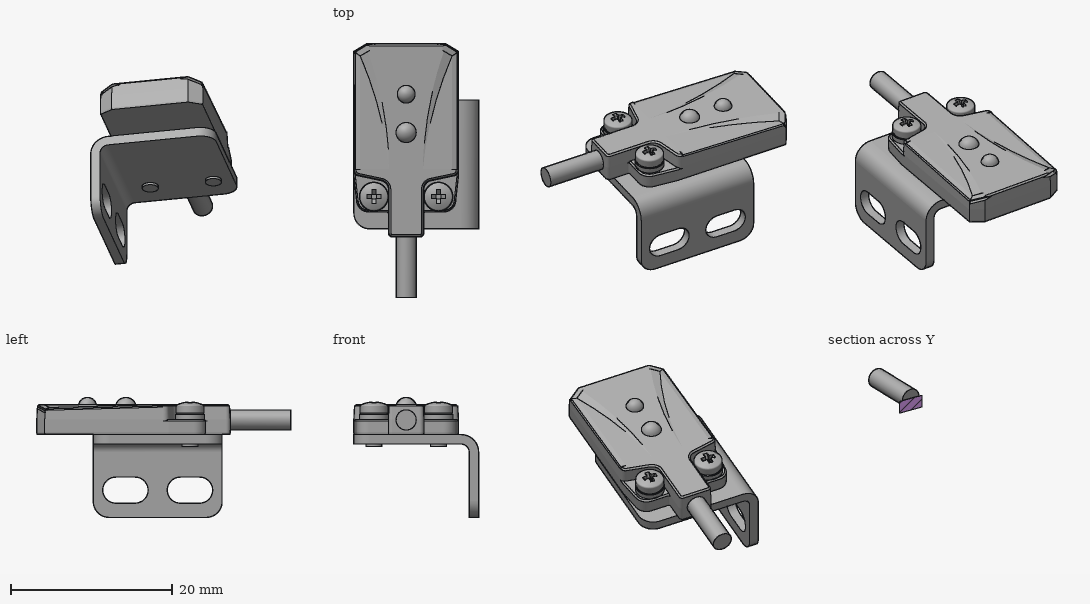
import cadquery as cq
import math


CASE_HALF_WIDTH = 6.5
CASE_BACK_Y = 19.0
CASE_HEIGHT = 3.7
PARTING_Z = CASE_HEIGHT / 2
DRAFT_ANGLE = 3.0
BACK_CORNER_X = 1.65
BACK_CORNER_Y = 1.0
TOP_CHAMFER = 0.2
FOOT_HEIGHT = 0.2
FOOT_INSET = 0.05

SHOULDER_SIDE_Y = 2.7
SHOULDER_SLOPE = 12.0
SHOULDER_RADIUS = 0.7
NECK_HALF_WIDTH = 2.2
NECK_FRONT_Y = -5.0
NECK_ROOT_RADIUS = 1.1
NECK_CORNER_RADIUS = 0.5

EAR_BACK_Y = 4.0
EAR_SLANT_Y = 2.6
EAR_FRONT_Y = -1.9
EAR_FRONT_HALF_WIDTH = 6.0
EAR_CORNER_RADIUS = 1.5
EAR_ROOT_RADIUS = 0.2
EAR_STUB_LENGTH = 1.0
EAR_CHAMFER = 0.2

PANEL_FRONT_Y = 3.4
PANEL_TILT = 1.45
PANEL_WALL_SLOPE = 71.8
PANEL_FRONT_X = 2.1
PANEL_MIDDLE_X = 3.45
PANEL_MIDDLE_LENGTH = 7.6
PANEL_BACK_X = 5.7
PANEL_LENGTH = 14.05
PANEL_CUT_HEIGHT = 0.8

CORNER_RIM_X = 4.56
CORNER_RIM_Y = 18.1
RIM_EDGE_X = 6.28
CORNER_EDGE_CHAMFER = 0.2
CUT_REACH = 8.0

LAMPS = [(12.7, 2.2), (7.95, 2.5)]
LAMP_HEIGHT = 0.9

CABLE_DIAMETER = 2.5
CABLE_LENGTH = 7.5
CABLE_Z = 1.8

PLATE_THICKNESS = 1.2
PLATE_LEFT_X = -CASE_HALF_WIDTH
PLATE_RIGHT_X = 9.0
PLATE_FRONT_Y = -4.0
PLATE_LENGTH = 16.0
BRACKET_BOTTOM_Z = -10.3
BEND_RADIUS = 2.2
BRACKET_CORNER_RADIUS = 2.0
SLOT_LENGTH = 5.6
SLOT_WIDTH = 3.2
SLOT_SPACING = 8.0
SLOT_Z = -6.9

SCREW_X = 4.0
SCREW_DIAMETER = 2.0
SCREW_TIP_Z = -1.5
WASHER_DIAMETER = 3.6
WASHER_THICKNESS = 0.65
HEAD_DIAMETER = 3.5
HEAD_HEIGHT = 1.55
HEAD_RIM_HEIGHT = 1.1
HEAD_BOTTOM_CHAMFER = 0.15
HEAD_RIM_RADIUS = 0.2
RECESS_SPAN = 1.9
RECESS_FLOOR_SPAN = 0.6
RECESS_ARM_WIDTH = 0.5
RECESS_DEPTH = 0.9

PANEL_BACK_Y = PANEL_FRONT_Y + PANEL_LENGTH * math.cos(math.radians(PANEL_TILT))
PANEL_BACK_DROP = PANEL_LENGTH * math.sin(math.radians(PANEL_TILT))

MITRE_SLOPE = (CASE_BACK_Y - BACK_CORNER_Y - PANEL_BACK_Y) / (CASE_HALF_WIDTH - PANEL_BACK_X)
CORNER_FALL = PANEL_BACK_DROP / (PANEL_BACK_X - CORNER_RIM_X)
SIDE_FALL = CORNER_FALL - math.tan(math.radians(PANEL_TILT)) * MITRE_SLOPE
MITRE_END_Y = PANEL_BACK_Y + (CUT_REACH - PANEL_BACK_X) * MITRE_SLOPE

HEAD_BASE_Z = PARTING_Z + WASHER_THICKNESS
SCREW_POINTS = [(-SCREW_X, 0), (SCREW_X, 0)]


def mirrored_outline(right_side):
    """Close the points of the right half with their mirror image across the YZ plane."""
    left_side = [(-x, y) for x, y in reversed(right_side)]
    return right_side + left_side


def corner_zone(x, y):
    """Selector for whatever lies at (x, y), at any height."""
    reach = 0.05
    return cq.selectors.BoxSelector(
        (x - reach, y - reach, -CASE_HEIGHT), (x + reach, y + reach, 2 * CASE_HEIGHT)
    )


def rounded(block, x, y, radius):
    """Round the vertical edges at (x, y) and at its mirror image."""
    return block.edges(corner_zone(x, y) + corner_zone(-x, y)).edges("|Z").fillet(radius)


def case_plan():
    """Plan of the case body and neck, as a block one parting height tall."""
    shoulder_width = CASE_HALF_WIDTH - NECK_HALF_WIDTH
    neck_root_y = SHOULDER_SIDE_Y - shoulder_width * math.tan(math.radians(SHOULDER_SLOPE))
    right_side = [
        (CASE_HALF_WIDTH - BACK_CORNER_X, CASE_BACK_Y),
        (CASE_HALF_WIDTH, CASE_BACK_Y - BACK_CORNER_Y),
        (CASE_HALF_WIDTH, SHOULDER_SIDE_Y),
        (NECK_HALF_WIDTH, neck_root_y),
        (NECK_HALF_WIDTH, NECK_FRONT_Y),
    ]
    block = cq.Workplane("XY").polyline(mirrored_outline(right_side)).close().extrude(PARTING_Z)
    block = rounded(block, CASE_HALF_WIDTH, SHOULDER_SIDE_Y, SHOULDER_RADIUS)
    block = rounded(block, NECK_HALF_WIDTH, neck_root_y, NECK_ROOT_RADIUS)
    return rounded(block, NECK_HALF_WIDTH, NECK_FRONT_Y, NECK_CORNER_RADIUS)


def panel_plane():
    """Plane of a panel floor, hinged on the case top and sinking toward the back."""
    return cq.Plane(origin=(0, PANEL_FRONT_Y, CASE_HEIGHT)).rotated((-PANEL_TILT, 0, 0))


def panel_cutter():
    """Tool that sinks the right-hand panel, leaving an arched sloping wall on its inner side."""
    return (
        cq.Workplane(panel_plane())
        .moveTo(PANEL_FRONT_X, 0)
        .threePointArc((PANEL_MIDDLE_X, PANEL_MIDDLE_LENGTH), (PANEL_BACK_X, PANEL_LENGTH))
        .lineTo(CUT_REACH, MITRE_END_Y - PANEL_FRONT_Y)
        .lineTo(CUT_REACH, 0)
        .close()
        .extrude(PANEL_CUT_HEIGHT, taper=-PANEL_WALL_SLOPE)
    )


def plan_prism(points):
    """Tall prism over a plan outline, used to trim the rim tools."""
    return cq.Workplane("XY").polyline(points).close().extrude(2 * CASE_HEIGHT)


def side_rim_cutter():
    """Tool that bevels the outer side of the right-hand panel and breaks its edge."""
    tilted = panel_plane()
    edge_z = -(RIM_EDGE_X - PANEL_BACK_X) * SIDE_FALL
    wedge = (
        cq.Workplane(cq.Plane(origin=tilted.origin, xDir=(1, 0, 0), normal=-tilted.yDir))
        .moveTo(PANEL_BACK_X, 0)
        .lineTo(RIM_EDGE_X, edge_z)
        .lineTo(CUT_REACH, edge_z - (CUT_REACH - RIM_EDGE_X))
        .lineTo(CUT_REACH, PANEL_CUT_HEIGHT)
        .lineTo(PANEL_BACK_X, PANEL_CUT_HEIGHT)
        .close()
        .extrude(-CASE_BACK_Y)
    )
    side = plan_prism([
        (PANEL_BACK_X, 0),
        (CUT_REACH, 0),
        (CUT_REACH, MITRE_END_Y),
        (PANEL_BACK_X, PANEL_BACK_Y),
    ])
    return wedge.intersect(side)


def corner_rim_cutter():
    """Tool that bevels the back right corner, falling sideways from the flat centre of the case top."""
    wedge = (
        cq.Workplane("XZ")
        .moveTo(CORNER_RIM_X, CASE_HEIGHT)
        .lineTo(CUT_REACH, CASE_HEIGHT - (CUT_REACH - CORNER_RIM_X) * CORNER_FALL)
        .lineTo(CUT_REACH, CASE_HEIGHT)
        .close()
        .extrude(-2 * CASE_BACK_Y)
    )
    corner = plan_prism([
        (CORNER_RIM_X, CORNER_RIM_Y),
        (PANEL_BACK_X, PANEL_BACK_Y),
        (CUT_REACH, MITRE_END_Y),
        (CUT_REACH, 2 * CASE_BACK_Y),
        (CORNER_RIM_X, 2 * CASE_BACK_Y),
    ])
    return wedge.intersect(corner)


def corner_edge_cutter():
    """Tool that breaks the outer edge of the back right corner rim at 45 degrees."""
    edge_drop = (CASE_HALF_WIDTH - CORNER_RIM_X) * CORNER_FALL
    edge_plane = cq.Plane(
        origin=(CASE_HALF_WIDTH, CASE_BACK_Y - BACK_CORNER_Y, CASE_HEIGHT - edge_drop),
        xDir=(BACK_CORNER_Y, BACK_CORNER_X, 0),
        normal=(-BACK_CORNER_X, BACK_CORNER_Y, BACK_CORNER_X * CORNER_FALL),
    )
    reach = 0.6
    return (
        cq.Workplane(edge_plane)
        .moveTo(-reach, reach - CORNER_EDGE_CHAMFER)
        .lineTo(reach, -reach - CORNER_EDGE_CHAMFER)
        .lineTo(reach, reach - CORNER_EDGE_CHAMFER)
        .close()
        .extrude(2 * BACK_CORNER_X)
    )


def case_upper(plan):
    """Drafted upper half with its sunken panels and bevelled top edge."""
    upper = plan.faces(">Z").wires().toPending().extrude(PARTING_Z, taper=DRAFT_ANGLE, combine=False)
    upper = upper.faces(">Z").chamfer(TOP_CHAMFER)
    for cutter in (panel_cutter(), side_rim_cutter(), corner_rim_cutter(), corner_edge_cutter()):
        upper = upper.cut(cutter).cut(cutter.mirror("YZ"))
    return upper


def case_ears():
    """Low block that carries both screws, with its top edge chamfered and a stub inside the neck."""
    right_side = [
        (CASE_HALF_WIDTH, EAR_BACK_Y),
        (CASE_HALF_WIDTH, EAR_SLANT_Y),
        (EAR_FRONT_HALF_WIDTH, EAR_FRONT_Y),
        (NECK_HALF_WIDTH, EAR_FRONT_Y),
        (NECK_HALF_WIDTH, EAR_FRONT_Y - EAR_STUB_LENGTH),
    ]
    block = cq.Workplane("XY").polyline(mirrored_outline(right_side)).close().extrude(PARTING_Z)
    block = rounded(block, EAR_FRONT_HALF_WIDTH, EAR_FRONT_Y, EAR_CORNER_RADIUS)
    block = rounded(block, NECK_HALF_WIDTH, EAR_FRONT_Y, EAR_ROOT_RADIUS)
    return block.faces(">Z").chamfer(EAR_CHAMFER)


def lamp(y, diameter):
    """Indicator dome standing on the case top."""
    ball_radius = ((diameter / 2) ** 2 + LAMP_HEIGHT**2) / (2 * LAMP_HEIGHT)
    ball = cq.Workplane("XY").sphere(ball_radius)
    ball = ball.translate((0, y, CASE_HEIGHT + LAMP_HEIGHT - ball_radius))
    cap_room = cq.Workplane("XY").box(
        2 * diameter, 2 * diameter, CASE_HEIGHT, centered=(True, True, False)
    )
    return ball.intersect(cap_room.translate((0, y, CASE_HEIGHT - LAMP_HEIGHT / 2)))


def make_sensor():
    """Case with its indicator lamps and its cable, drilled for the screws."""
    plan = case_plan()
    sensor = plan.union(case_ears())
    sensor = sensor.faces("<Z").chamfer(FOOT_INSET, FOOT_HEIGHT)
    sensor = sensor.union(case_upper(plan))
    for y, diameter in LAMPS:
        sensor = sensor.union(lamp(y, diameter))
    cable = (
        cq.Workplane("XZ", origin=(0, NECK_FRONT_Y, CABLE_Z))
        .circle(CABLE_DIAMETER / 2)
        .extrude(CABLE_LENGTH)
    )
    holes = cq.Workplane("XY").pushPoints(SCREW_POINTS).circle(SCREW_DIAMETER / 2).extrude(PARTING_Z)
    return sensor.union(cable).cut(holes)


def make_bracket():
    """Angle bracket: a plate under the case, bent down into a slotted leg."""
    leg_inner_x = PLATE_RIGHT_X - PLATE_THICKNESS
    bend_x = PLATE_RIGHT_X - BEND_RADIUS
    inner_radius = BEND_RADIUS - PLATE_THICKNESS
    bracket = (
        cq.Workplane("XZ", origin=(0, PLATE_FRONT_Y, 0))
        .moveTo(PLATE_LEFT_X, 0)
        .lineTo(bend_x, 0)
        .radiusArc((PLATE_RIGHT_X, -BEND_RADIUS), BEND_RADIUS)
        .lineTo(PLATE_RIGHT_X, BRACKET_BOTTOM_Z)
        .lineTo(leg_inner_x, BRACKET_BOTTOM_Z)
        .lineTo(leg_inner_x, -BEND_RADIUS)
        .radiusArc((bend_x, -PLATE_THICKNESS), -inner_radius)
        .lineTo(PLATE_LEFT_X, -PLATE_THICKNESS)
        .close()
        .extrude(-PLATE_LENGTH)
    )
    bracket = bracket.faces("<X").edges("|Z").fillet(BRACKET_CORNER_RADIUS)
    bracket = bracket.faces("<Z").edges("|X").fillet(BRACKET_CORNER_RADIUS)
    slots = (
        cq.Workplane("YZ", origin=(leg_inner_x, PLATE_FRONT_Y + PLATE_LENGTH / 2, SLOT_Z))
        .pushPoints([(-SLOT_SPACING / 2, 0), (SLOT_SPACING / 2, 0)])
        .slot2D(SLOT_LENGTH, SLOT_WIDTH)
        .extrude(PLATE_THICKNESS)
    )
    holes = (
        cq.Workplane("XY").pushPoints(SCREW_POINTS).circle(SCREW_DIAMETER / 2).extrude(-PLATE_THICKNESS)
    )
    return bracket.cut(slots).cut(holes)


def make_washer(x, y):
    """Washer between an ear and a screw head."""
    return (
        cq.Workplane("XY", origin=(x, y, PARTING_Z))
        .circle(WASHER_DIAMETER / 2)
        .circle(SCREW_DIAMETER / 2)
        .extrude(WASHER_THICKNESS)
    )


def recess_cutter():
    """Cross recess tool, pointing down from the crown of a screw head."""
    top_z = HEAD_HEIGHT
    floor_z = HEAD_HEIGHT - RECESS_DEPTH
    arm = (
        cq.Workplane("XZ", origin=(0, RECESS_ARM_WIDTH / 2, 0))
        .moveTo(-RECESS_SPAN / 2, top_z)
        .lineTo(RECESS_SPAN / 2, top_z)
        .lineTo(RECESS_FLOOR_SPAN / 2, floor_z)
        .lineTo(-RECESS_FLOOR_SPAN / 2, floor_z)
        .close()
        .extrude(RECESS_ARM_WIDTH)
    )
    return arm.union(arm.rotate((0, 0, 0), (0, 0, 1), 90))


def make_screw(x, y):
    """Cross-recessed screw with a domed head; its plain shank passes through the bracket."""
    head_radius = HEAD_DIAMETER / 2
    shank_radius = SCREW_DIAMETER / 2
    crown_height = HEAD_HEIGHT - HEAD_RIM_HEIGHT
    crown_radius = (head_radius**2 + crown_height**2) / (2 * crown_height)
    tip_z = SCREW_TIP_Z - HEAD_BASE_Z
    screw = (
        cq.Workplane("XZ")
        .moveTo(0, tip_z)
        .lineTo(shank_radius, tip_z)
        .lineTo(shank_radius, 0)
        .lineTo(head_radius - HEAD_BOTTOM_CHAMFER, 0)
        .lineTo(head_radius, HEAD_BOTTOM_CHAMFER)
        .lineTo(head_radius, HEAD_RIM_HEIGHT)
        .radiusArc((0, HEAD_HEIGHT), -crown_radius)
        .close()
        .revolve(360, (0, 0, 0), (0, 1, 0))
    )
    rim = cq.selectors.BoxSelector(
        (-head_radius, -head_radius, HEAD_RIM_HEIGHT - crown_height / 2),
        (head_radius, head_radius, HEAD_RIM_HEIGHT + crown_height / 2),
    )
    screw = screw.edges("%CIRCLE").edges(rim).fillet(HEAD_RIM_RADIUS)
    return screw.cut(recess_cutter()).translate((x, y, HEAD_BASE_Z))


sensor = make_sensor()
bracket = make_bracket()
screws = [make_screw(x, y) for x, y in SCREW_POINTS]
washers = [make_washer(x, y) for x, y in SCREW_POINTS]

result = cq.Compound.makeCompound([
    sensor.solids().val(),
    bracket.solids().val(),
    *[screw.solids().val() for screw in screws],
    *[washer.val() for washer in washers],
])